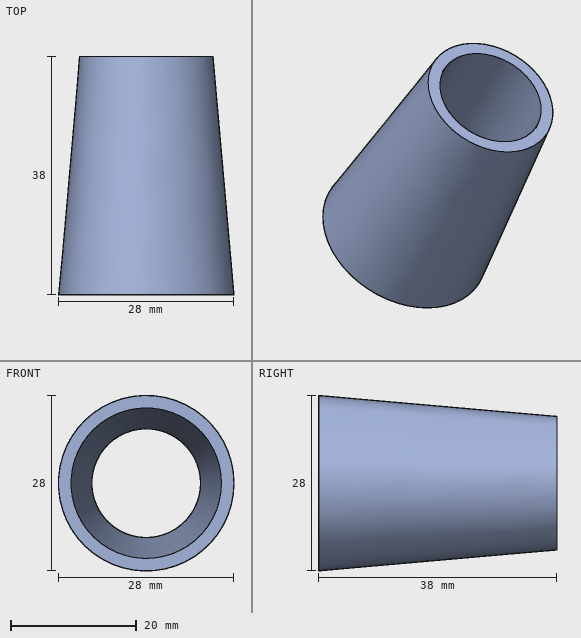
import cadquery as cq

length = 38.0
wide_diameter = 28.0
narrow_diameter = 21.3
wall = 2.0

wide_radius = wide_diameter / 2
narrow_radius = narrow_diameter / 2

wall_section = (
    cq.Workplane("XY")
    .moveTo(wide_radius - wall, 0)
    .lineTo(wide_radius, 0)
    .lineTo(narrow_radius, length)
    .lineTo(narrow_radius - wall, length)
    .close()
)

result = wall_section.revolve(360, (0, 0, 0), (0, 1, 0))